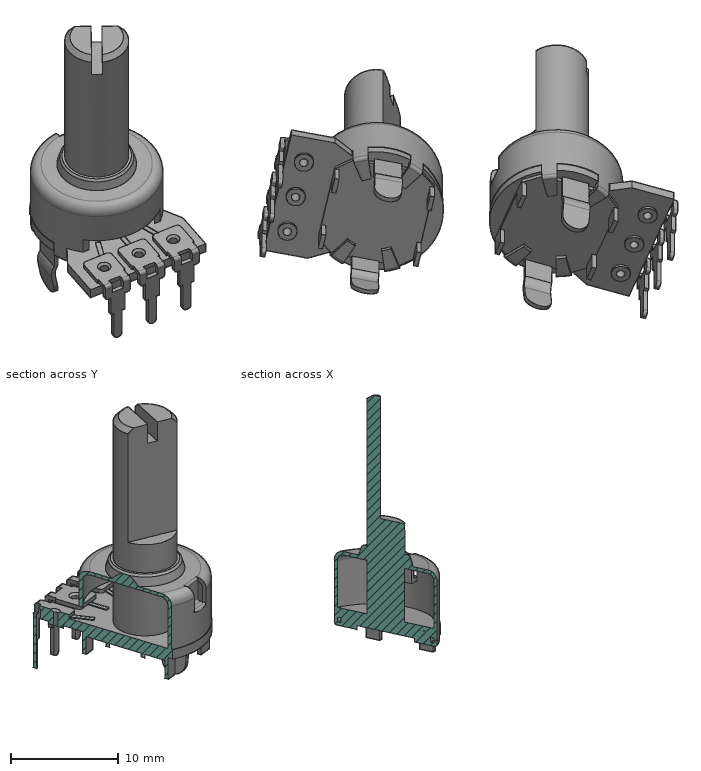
import cadquery as cq
import math


plate_thickness = 1.0
body_top = 6.65
bushing_top = 7.7
shaft_top = 22.7

body_radius = 12.4 / 2
cavity_radius = 11.6 / 2
sheet_thickness = body_radius - cavity_radius
body_fillet = 1.0
exit_face_x = 4.57
exit_top = 2.57

bushing_base_radius = 3.72
bushing_shoulder_radius = 3.45
bushing_edge = 0.2

shaft_radius = 6.0 / 2
shaft_chamfer = 0.5
flat_distance = shaft_radius / 2
flat_length = 12.0
flat_angle = 150
slot_width = 1.0
slot_depth = 2.0

strip_width = 2.06
strip_floor_z = 4.2
strip_face_x = -5.2
strip_bend_radius = 0.25
strip_sill_radius = 0.3

lug_start_angle = 19.1
lug_end_angle = 32.6
lug_bottom = -0.8
lug_flap_inner_radius = 3.84
lug_edge_radius = 0.32

plate_radius = 12.5 / 2
plate_end_x = 9.4
shoulder_x = 5.25
neck_x = 3.42

bracket_thickness = 0.4
bracket_half_x = 4.75
bracket_foot_outer_y = 3.78
bracket_corner_x = 3.2
bracket_half_y = 5.07
foot_width = 1.5
foot_bottom = -2.3
leg_thickness = 0.4

leg_bottom = -6.8
leg_radius = 1.3
leg_outer_y = 5.37
leg_bulge_y = 5.65
leg_tip_y = 5.2
bulge_start_z = -2.83
bulge_middle_z = -3.6
bulge_end_z = -4.15
bulge_end_y = 5.63

terminal_pitch = 3.75
terminal_thickness = 0.4
terminal_start_x = 6.2
terminal_step_x = 8.97
terminal_end_x = 10.2
head_width = 3.0
bend_width = 2.7
head_corner = 0.38
bend_radius = 0.32
shoulder_z = -0.27
leg_width = 1.53
pin_width = 0.88
pin_bottom = -5.52
pin_tip_radius = 0.4
relief_start_x = 9.55
relief_width = 1.18
relief_bottom = 0.4

rivet_x = 7.7
rivet_radius = 1.8 / 2
rivet_height = 0.27
rivet_mouth_diameter = 1.25
rivet_hole_diameter = 0.8
track_height = 0.1
track_width = 0.47
track_start_x = 4.13
track_start_y = 2.33
track_end_x = terminal_start_x + head_corner
track_end_y = 3.2


def box(x_min, x_max, y_min, y_max, z_min, z_max):
    """Axis-aligned box between two corners."""
    size = (x_max - x_min, y_max - y_min, z_max - z_min)
    return cq.Workplane("XY").box(*size, centered=False).translate((x_min, y_min, z_min))


def disc(radius, z_min, z_max):
    """Cylinder on the Z axis."""
    return cq.Workplane("XY", origin=(0, 0, z_min)).circle(radius).extrude(z_max - z_min)


def mirrored_y(shape):
    """Shape together with its mirror image across the XZ plane."""
    return shape.union(shape.mirror("XZ"))


def all_quadrants(shape):
    """Shape together with its mirror images across the XZ and YZ planes."""
    return mirrored_y(shape.union(shape.mirror("YZ")))


def lug_sector(radius, z_min, z_max):
    """Wedge from the axis over the angular width of one lug."""
    start = math.radians(lug_start_angle)
    end = math.radians(lug_end_angle)
    middle = (start + end) / 2
    return (
        cq.Workplane("XY", origin=(0, 0, z_min))
        .lineTo(radius * math.sin(start), radius * math.cos(start))
        .threePointArc(
            (radius * math.sin(middle), radius * math.cos(middle)),
            (radius * math.sin(end), radius * math.cos(end)),
        )
        .close()
        .extrude(z_max - z_min)
    )


def cover_envelope():
    """Solid outer shape of the cover, down to the undersides of the folded lugs."""
    envelope = disc(body_radius, lug_bottom, body_top)
    envelope = envelope.faces(">Z").edges().fillet(body_fillet)
    return envelope.faces("<Z").edges().fillet(lug_edge_radius)


def strip_block():
    """Region of the cover wall that the pressed-in stop strip replaces."""
    inner_x = strip_face_x + sheet_thickness
    root_z = strip_floor_z - sheet_thickness
    return box(-body_radius, inner_x, -strip_width / 2, strip_width / 2, root_z, body_top)


def make_stop_strip():
    """Strip open at both sides that joins the cover wall below to the cover top above."""
    bend = strip_bend_radius
    diagonal = bend * math.sqrt(0.5)
    sill_diagonal = strip_sill_radius * math.sqrt(0.5)
    sill = (strip_sill_radius - body_radius, strip_floor_z - strip_sill_radius)
    corner = (strip_face_x - bend, strip_floor_z + bend)
    crest = (strip_face_x + bend, body_top - bend)
    recess = (
        cq.Workplane("XZ", origin=(0, strip_width / 2, 0))
        .moveTo(-body_radius, body_top)
        .lineTo(-body_radius, sill[1])
        .threePointArc((sill[0] - sill_diagonal, sill[1] + sill_diagonal), (sill[0], strip_floor_z))
        .lineTo(corner[0], strip_floor_z)
        .threePointArc((corner[0] + diagonal, corner[1] - diagonal), (strip_face_x, corner[1]))
        .lineTo(strip_face_x, crest[1])
        .threePointArc((crest[0] - diagonal, crest[1] + diagonal), (crest[0], body_top))
        .close()
        .extrude(strip_width)
    )
    return cover_envelope().intersect(strip_block()).cut(recess)


def make_cover():
    """Drawn cup with four tongues that fold inward below the bracket."""
    cover = cover_envelope()
    cavity = disc(cavity_radius, -bracket_thickness, body_top - sheet_thickness)
    cavity = cavity.faces(">Z").edges().fillet(body_fillet - sheet_thickness)
    flap_opening = disc(lug_flap_inner_radius, lug_bottom, -bracket_thickness)

    lugs = all_quadrants(lug_sector(2 * body_radius, lug_bottom, plate_thickness))
    between_lugs = disc(2 * body_radius, lug_bottom, plate_thickness).cut(lugs)
    terminal_exit = box(exit_face_x, body_radius, -body_radius, body_radius, plate_thickness, exit_top)
    for opening in (cavity, flap_opening, between_lugs, terminal_exit, strip_block()):
        cover = cover.cut(opening)
    return cover.union(make_stop_strip())


def make_bushing():
    profile = (
        cq.Workplane("XZ")
        .moveTo(0, body_top - sheet_thickness)
        .lineTo(bushing_base_radius, body_top - sheet_thickness)
        .lineTo(bushing_base_radius, body_top)
        .lineTo(bushing_shoulder_radius, bushing_top - bushing_edge)
        .lineTo(bushing_shoulder_radius - bushing_edge, bushing_top)
        .lineTo(0, bushing_top)
        .close()
    )
    return profile.revolve(360, (0, 0, 0), (0, 1, 0))


def make_shaft():
    shaft = disc(shaft_radius, plate_thickness, shaft_top).faces(">Z").edges().chamfer(shaft_chamfer)
    reach = 2 * shaft_radius
    flat = box(flat_distance, reach, -reach, reach, shaft_top - flat_length, shaft_top)
    slot = box(-reach, reach, -slot_width / 2, slot_width / 2, shaft_top - slot_depth, shaft_top)
    return shaft.cut(flat.union(slot).rotate((0, 0, 0), (0, 0, 1), flat_angle))


def make_plate():
    neck_y = math.sqrt(plate_radius**2 - neck_x**2)
    tail = (
        cq.Workplane("XY")
        .polyline([
            (0, -neck_y),
            (neck_x, -neck_y),
            (shoulder_x, -plate_radius),
            (plate_end_x, -plate_radius),
            (plate_end_x, plate_radius),
            (shoulder_x, plate_radius),
            (neck_x, neck_y),
            (0, neck_y),
        ])
        .close()
        .extrude(plate_thickness)
    )
    notch = lug_sector(2 * plate_radius, 0, plate_thickness).cut(disc(cavity_radius, 0, plate_thickness))
    return disc(plate_radius, 0, plate_thickness).union(tail).cut(all_quadrants(notch))


def make_bracket():
    foot_corner = (bracket_half_x, bracket_foot_outer_y)
    side_corner = (bracket_corner_x, bracket_half_y)
    quarter = (
        cq.Workplane("XY", origin=(0, 0, -bracket_thickness))
        .polyline([(0, 0), (bracket_half_x, 0), foot_corner, side_corner, (0, bracket_half_y)])
        .close()
        .extrude(bracket_thickness)
    )
    foot = box(
        bracket_half_x - leg_thickness, bracket_half_x,
        bracket_foot_outer_y - foot_width, bracket_foot_outer_y,
        foot_bottom, 0,
    )
    return all_quadrants(quarter.union(foot))


def make_snap_legs():
    profile = (
        cq.Workplane("YZ", origin=(-leg_radius, 0, 0))
        .moveTo(leg_outer_y - leg_thickness, 0)
        .lineTo(leg_outer_y, 0)
        .lineTo(leg_outer_y, bulge_start_z)
        .threePointArc((leg_bulge_y, bulge_middle_z), (bulge_end_y, bulge_end_z))
        .lineTo(leg_tip_y, leg_bottom)
        .lineTo(leg_tip_y - leg_thickness, leg_bottom)
        .lineTo(bulge_end_y - leg_thickness, bulge_end_z)
        .threePointArc(
            (leg_bulge_y - leg_thickness, bulge_middle_z),
            (leg_outer_y - leg_thickness, bulge_start_z),
        )
        .close()
        .extrude(2 * leg_radius)
    )
    face_outline = (
        cq.Workplane("XZ")
        .moveTo(-leg_radius, 0)
        .lineTo(-leg_radius, leg_bottom + leg_radius)
        .threePointArc((0, leg_bottom), (leg_radius, leg_bottom + leg_radius))
        .lineTo(leg_radius, 0)
        .close()
        .extrude(-2 * leg_bulge_y)
    )
    return mirrored_y(profile.intersect(face_outline))


def make_terminal():
    """Terminal on the X axis: flat head, right-angle bend, stepped pin."""
    top = plate_thickness + terminal_thickness
    leg_inner_x = terminal_end_x - terminal_thickness
    head = box(
        terminal_start_x, terminal_step_x, -head_width / 2, head_width / 2, plate_thickness, top
    ).edges("|Z and <X").fillet(head_corner)

    half_bend = bend_width / 2
    neck = box(terminal_step_x, terminal_end_x, -half_bend, half_bend, plate_thickness, top)
    drop = box(leg_inner_x, terminal_end_x, -half_bend, half_bend, shoulder_z, top)
    drop = drop.edges("|X and <Z").fillet(bend_radius)
    bent = neck.union(drop).edges("|Y and >X and >Z").fillet(bend_radius)
    relief = box(
        relief_start_x, terminal_end_x, -relief_width / 2, relief_width / 2, relief_bottom, top
    )

    leg = box(leg_inner_x, terminal_end_x, -leg_width / 2, leg_width / 2, foot_bottom, shoulder_z)
    pin = box(leg_inner_x, terminal_end_x, -pin_width / 2, pin_width / 2, pin_bottom, foot_bottom)
    pin = pin.edges("|X and <Z").fillet(pin_tip_radius)
    return head.union(bent.cut(relief)).union(leg).union(pin)


def make_rivet_foot():
    return cq.Workplane("XY", origin=(rivet_x, 0, -rivet_height)).circle(rivet_radius).extrude(rivet_height)


def make_rivet_hole():
    """Through hole with a conical mouth in the terminal head."""
    mouth_depth = (rivet_mouth_diameter - rivet_hole_diameter) / 2
    top = plate_thickness + terminal_thickness
    profile = (
        cq.Workplane("XZ")
        .moveTo(0, -rivet_height)
        .lineTo(rivet_hole_diameter / 2, -rivet_height)
        .lineTo(rivet_hole_diameter / 2, top - mouth_depth)
        .lineTo(rivet_mouth_diameter / 2, top)
        .lineTo(0, top)
        .close()
    )
    return profile.revolve(360, (0, 0, 0), (0, 1, 0)).translate((rivet_x, 0, 0))


def make_track(start, end):
    """Thin conductor strip on the plate between two points."""
    run = (end[0] - start[0], end[1] - start[1])
    length = math.hypot(*run)
    angle = math.degrees(math.atan2(run[1], run[0]))
    strip = box(0, length, -track_width / 2, track_width / 2, plate_thickness, plate_thickness + track_height)
    return strip.rotate((0, 0, 0), (0, 0, 1), angle).translate((start[0], start[1], 0))


terminal_positions = [-terminal_pitch, 0, terminal_pitch]

result = make_cover()
for feature in (
    make_plate(),
    make_bushing(),
    make_shaft(),
    make_bracket(),
    make_snap_legs(),
):
    result = result.union(feature)

for y in terminal_positions:
    result = result.union(make_terminal().translate((0, y, 0)))
    result = result.union(make_rivet_foot().translate((0, y, 0)))
for y in terminal_positions:
    result = result.cut(make_rivet_hole().translate((0, y, 0)))

outer_track = make_track((track_start_x, track_start_y), (track_end_x, track_end_y))
center_track = make_track((track_start_x, 0), (track_end_x, 0))
result = result.union(mirrored_y(outer_track)).union(center_track)